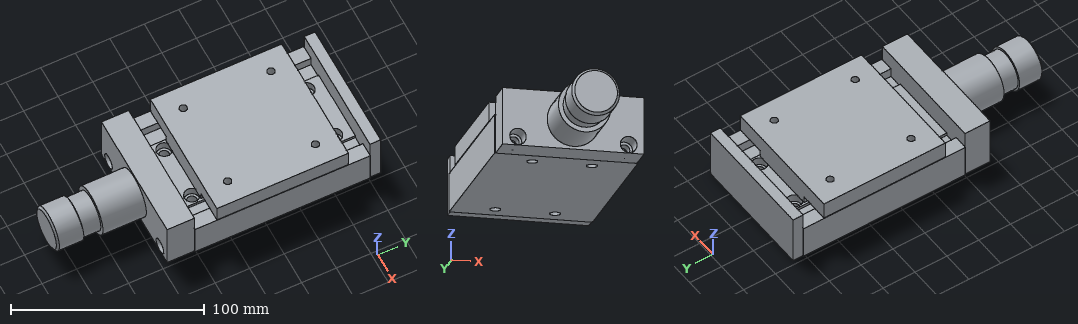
import cadquery as cq


BASE_WIDTH = 76.2
BASE_LENGTH = 101.6
BASE_HEIGHT = 20.83
CHANNEL_WIDTH = 59.3
FLOOR_WIDTH = 42.2
FLOOR_DEPTH = 4.1
GROOVE_DEPTH = 5.8
MOUNT_SPACING_X = 31.75
MOUNT_SPACING_Y = 82.55
MOUNT_HOLE_DIAMETER = 5.6
MOUNT_HEAD_DIAMETER = 8.5
MOUNT_HEAD_DEPTH = 5.0

TABLE_SIZE = BASE_WIDTH
STAGE_HEIGHT = 31.75
TABLE_GAP = 0.4
TABLE_BOTTOM = BASE_HEIGHT + TABLE_GAP
TABLE_THICKNESS = STAGE_HEIGHT - TABLE_BOTTOM
TONGUE_WIDTH = 40.0
TONGUE_HEIGHT = 4.2
TABLE_HOLE_SPACING = 50.8
TABLE_HOLE_DIAMETER = 4.2

PLATE_WIDTH = 75.2
PLATE_HEIGHT = 30.75
FRONT_PLATE_THICKNESS = 15.875
REAR_PLATE_THICKNESS = 6.35
SCREW_SPACING = 58.8
SCREW_HEIGHT = 4.7
SCREW_HOLE_DIAMETER = 5.8
SCREW_HEAD_DIAMETER = 8.7
SCREW_HEAD_DEPTH = 10.0

DRIVE_HEIGHT = 15.35
DRIVE_LENGTH = 50.8
BARREL_LENGTH = 25.1
NECK_LENGTH = 10.5
BARREL_DIAMETER = 27.8
NECK_DIAMETER = 22.8
KNOB_DIAMETER = 25.4
KNOB_BEVEL_LENGTH = 1.1
KNOB_BEVEL_DEPTH = 1.4

BASE_FRONT = -BASE_LENGTH / 2
BASE_REAR = BASE_LENGTH / 2
PLATE_FRONT = BASE_FRONT - FRONT_PLATE_THICKNESS


def box(width, length, height, bottom=0.0, middle_y=0.0):
    """Block centred on X = 0, standing on the height `bottom`."""
    block = cq.Workplane("XY").box(width, length, height, centered=(True, True, False))
    return block.translate((0, middle_y, bottom))


def make_base():
    floor_height = BASE_HEIGHT - FLOOR_DEPTH
    groove_bottom = BASE_HEIGHT - GROOVE_DEPTH
    channel = box(CHANNEL_WIDTH, BASE_LENGTH, GROOVE_DEPTH, groove_bottom)
    raised_floor = box(FLOOR_WIDTH, BASE_LENGTH, GROOVE_DEPTH - FLOOR_DEPTH, groove_bottom)
    body = box(BASE_WIDTH, BASE_LENGTH, BASE_HEIGHT).cut(channel.cut(raised_floor))

    floor_plane = cq.Workplane("XY", origin=(0, 0, floor_height))
    return (
        floor_plane.add(body)
        .rarray(MOUNT_SPACING_X, MOUNT_SPACING_Y, 2, 2)
        .cboreHole(MOUNT_HOLE_DIAMETER, MOUNT_HEAD_DIAMETER, MOUNT_HEAD_DEPTH)
    )


def make_table():
    slab = box(TABLE_SIZE, TABLE_SIZE, TABLE_THICKNESS, TABLE_BOTTOM)
    slab = (
        slab.faces(">Z").workplane()
        .rarray(TABLE_HOLE_SPACING, TABLE_HOLE_SPACING, 2, 2)
        .hole(TABLE_HOLE_DIAMETER)
    )
    tongue = box(TONGUE_WIDTH, TABLE_SIZE, TONGUE_HEIGHT, TABLE_BOTTOM - TONGUE_HEIGHT)
    return slab.union(tongue)


def make_front_plate():
    middle_y = BASE_FRONT - FRONT_PLATE_THICKNESS / 2
    plate = box(PLATE_WIDTH, FRONT_PLATE_THICKNESS, PLATE_HEIGHT, middle_y=middle_y)
    return (
        plate.faces("<Y").workplane(origin=(0, 0, SCREW_HEIGHT))
        .rarray(SCREW_SPACING, 1, 2, 1)
        .cboreHole(SCREW_HOLE_DIAMETER, SCREW_HEAD_DIAMETER, SCREW_HEAD_DEPTH)
    )


def make_rear_plate():
    middle_y = BASE_REAR + REAR_PLATE_THICKNESS / 2
    return box(PLATE_WIDTH, REAR_PLATE_THICKNESS, PLATE_HEIGHT, middle_y=middle_y)


def make_drive():
    """Barrel, neck and bevelled knob, turned about an axis along Y."""
    barrel_radius = BARREL_DIAMETER / 2
    neck_radius = NECK_DIAMETER / 2
    knob_radius = KNOB_DIAMETER / 2
    neck_end = BARREL_LENGTH + NECK_LENGTH
    half_profile = [
        (0, 0),
        (barrel_radius, 0),
        (barrel_radius, -BARREL_LENGTH),
        (neck_radius, -BARREL_LENGTH),
        (neck_radius, -neck_end),
        (knob_radius, -neck_end),
        (knob_radius, -(DRIVE_LENGTH - KNOB_BEVEL_LENGTH)),
        (knob_radius - KNOB_BEVEL_DEPTH, -DRIVE_LENGTH),
        (0, -DRIVE_LENGTH),
    ]
    turned = cq.Workplane("XY").polyline(half_profile).close().revolve(360, (0, 0), (0, 1))
    return turned.translate((0, PLATE_FRONT, DRIVE_HEIGHT))


base = make_base()
table = make_table()
front_plate = make_front_plate()
rear_plate = make_rear_plate()
drive = make_drive()

result = cq.Compound.makeCompound(
    [base.val(), table.val(), front_plate.val(), rear_plate.val(), drive.val()]
)